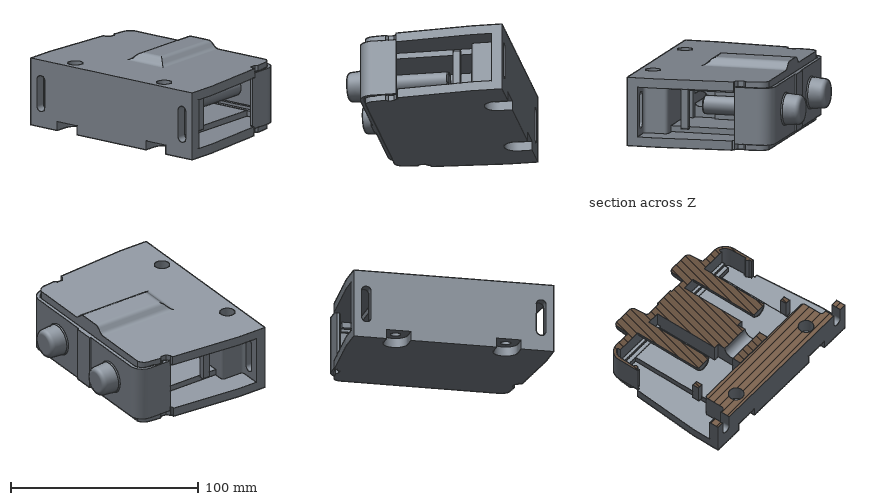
import cadquery as cq
import math


width = 110.0
height = 37.2
mid_z = height / 2
half_width = width / 2
taper_start_y = 16.7
shoulder_y = 58.2
shoulder_x = 51.6
lower_shoulder_y = 57.3
rear_y = 75.9
plate_thickness = 5.1
front_thickness = 5.7

notch_x = 47.8
notch_front_y = 59.7
notch_rear_y = 62.9
rim_start = (49.2, 64.1)
rim_end = (48.4, 71.3)
rim_corner_x = 44.5

block_half_width = 42.4
block_rear_y = 18.9
block_root_radius = 1.8
block_corner_radius = 1.9

slot_x = 48.1
slot_width = 5.3
slot_length = 19.9

screw_x = 30.2
screw_y = 7.2
screw_diameter = 5.5
counterbore_diameter = 8.1
pocket_width = 13.4
pocket_height = 5.1
screw_seat = 5.0

ridge_half_width = 12.9
ridge_front_y = 28.4
ridge_height = 3.8
ridge_radius = 4.0
ridge_angle = math.radians(44)

cover_half_width = 49.9
cover_rear_y = 79.0
cover_corner_radius = 7.7
cover_height = 30.9
cover_inner_y = 77.0
flap_front_y = 58.3
flap_inner_x = 48.4
flap_root_x = 48.0
cover_inner_radius = 5.5
hook_radius = 1.2
hook_y = 61.2
tab_width = 11.2
tab_rear_y = 79.8

knob_x = 24.0
knob_rear_y = 88.8
knob_foot_radius = 8.9
knob_base_radius = 8.5
knob_end_radius = 7.9
knob_rounding = 2.4
shaft_radius = 5.0
shaft_front_y = 34.0
shaft_chamfer = 0.7

tray_z = 18.4
tray_half_width = 36.3
tray_height = 26.2
tray_plate = 3.2
key_half_width = 11.8
key_front_y = 36.2
plug_half_width = 44.0
plug_front_y = 74.9
step_front_y = 73.0
step_height = 4.6
foot_front_y = 70.6
foot_height = 3.1
web_half_width = 8.8
web_step_y = 24.1
hole_y = 27.4
hole_diameter = 8.5
strap_outer_x = 39.6
strap_thickness = 3.8
strap_height = 22.2
strap_corner_radius = 1.0


def box(x0, x1, y0, y1, z0, z1):
    return cq.Workplane("XY").box(x1 - x0, y1 - y0, z1 - z0, centered=False).translate((x0, y0, z0))


def centred_box(half, front_y, back_y, bottom, top):
    return box(-half, half, front_y, back_y, bottom, top)


def mirrored_about_yz(half):
    return half.union(half.mirror("YZ"))


def housing_envelope():
    half = (
        cq.Workplane("XY")
        .moveTo(0, 0)
        .lineTo(half_width, 0)
        .lineTo(half_width, taper_start_y)
        .lineTo(shoulder_x, shoulder_y)
        .lineTo(cover_half_width, shoulder_y)
        .lineTo(notch_x, notch_front_y)
        .lineTo(notch_x, notch_rear_y)
        .lineTo(*rim_start)
        .lineTo(*rim_end)
        .tangentArcPoint((rim_corner_x, rear_y), relative=False)
        .lineTo(0, rear_y)
        .close()
        .extrude(height)
    )
    return mirrored_about_yz(half)


def block_profile():
    """Thick middle of the front wall, from its rounded roots to its rounded rear corners."""
    root_x = block_half_width + block_root_radius
    return (
        cq.Workplane("XY")
        .moveTo(0, 0)
        .lineTo(root_x, 0)
        .lineTo(root_x, front_thickness)
        .radiusArc((block_half_width, front_thickness + block_root_radius), block_root_radius)
        .lineTo(block_half_width, block_rear_y - block_corner_radius)
        .radiusArc((block_half_width - block_corner_radius, block_rear_y), -block_corner_radius)
        .lineTo(0, block_rear_y)
        .close()
        .extrude(height)
    )


def housing_cavity():
    """Opening through both flanks and the rear, around the block."""
    opening = centred_box(
        half_width, front_thickness, cover_rear_y, plate_thickness, height - plate_thickness
    )
    return opening.cut(mirrored_about_yz(block_profile()))


def front_slots():
    return (
        cq.Workplane("XZ")
        .pushPoints([(-slot_x, mid_z), (slot_x, mid_z)])
        .slot2D(slot_length, slot_width, 90)
        .extrude(-front_thickness)
    )


def screw_hole(x):
    hole = cq.Workplane("XY").center(x, screw_y).circle(screw_diameter / 2).extrude(height)
    counterbore = (
        cq.Workplane("XY", origin=(0, 0, pocket_height + screw_seat))
        .center(x, screw_y)
        .circle(counterbore_diameter / 2)
        .extrude(height)
    )
    pocket_end = cq.Workplane("XY").center(x, screw_y).circle(pocket_width / 2).extrude(pocket_height)
    pocket_mouth = box(x - pocket_width / 2, x + pocket_width / 2, 0, screw_y, 0, pocket_height)
    return hole.union(counterbore).union(pocket_end).union(pocket_mouth)


def ridge_flank(workplane, foot, far_edge):
    """Area under an S-shaped flank that climbs from foot toward the far edge."""
    run = ridge_radius * math.sin(ridge_angle)
    rise = ridge_radius * (1 - math.cos(ridge_angle))
    straight_run = (ridge_height - 2 * rise) / math.tan(ridge_angle)
    return (
        workplane.moveTo(foot, 0)
        .radiusArc((foot + run, rise), -ridge_radius)
        .lineTo(foot + run + straight_run, ridge_height - rise)
        .radiusArc((foot + 2 * run + straight_run, ridge_height), ridge_radius)
        .lineTo(far_edge, ridge_height)
        .lineTo(far_edge, 0)
        .close()
    )


def ridge():
    """Two crossed profiles, so that the front corners come out mitred."""
    half = ridge_flank(
        cq.Workplane("XZ", origin=(0, rear_y, height)), -ridge_half_width, 0
    ).extrude(rear_y - ridge_front_y)
    front = ridge_flank(
        cq.Workplane("YZ", origin=(-ridge_half_width, 0, height)), ridge_front_y, rear_y
    ).extrude(2 * ridge_half_width)
    return mirrored_about_yz(half).intersect(front)


def cover_shell():
    """Rear wall with a forward flap and snap hook on each side."""
    half = (
        cq.Workplane("XY", origin=(0, 0, mid_z - cover_height / 2))
        .moveTo(0, cover_rear_y)
        .lineTo(cover_half_width - cover_corner_radius, cover_rear_y)
        .radiusArc((cover_half_width, cover_rear_y - cover_corner_radius), cover_corner_radius)
        .lineTo(cover_half_width, flap_front_y)
        .lineTo(flap_inner_x, flap_front_y)
        .lineTo(flap_inner_x, hook_y - hook_radius)
        .threePointArc((flap_inner_x - hook_radius, hook_y), (flap_inner_x, hook_y + hook_radius))
        .lineTo(flap_root_x, cover_inner_y - cover_inner_radius)
        .radiusArc((flap_root_x - cover_inner_radius, cover_inner_y), -cover_inner_radius)
        .lineTo(0, cover_inner_y)
        .close()
        .extrude(cover_height)
    )
    return mirrored_about_yz(half)


def cover_tab():
    bottom = mid_z - cover_height / 2
    return centred_box(tab_width / 2, cover_inner_y, tab_rear_y, bottom, bottom + cover_height)


def knob(x):
    """Flared knob behind the cover and its shaft in front, turned as one profile."""
    turned = (
        cq.Workplane("XY")
        .moveTo(0, shaft_front_y)
        .lineTo(shaft_chamfer - shaft_radius, shaft_front_y)
        .lineTo(-shaft_radius, shaft_front_y + shaft_chamfer)
        .lineTo(-shaft_radius, cover_inner_y)
        .lineTo(-knob_foot_radius, cover_inner_y)
        .lineTo(-knob_foot_radius, cover_rear_y)
        .lineTo(-knob_base_radius, tab_rear_y)
        .lineTo(-knob_end_radius, knob_rear_y - knob_rounding)
        .radiusArc((knob_rounding - knob_end_radius, knob_rear_y), knob_rounding)
        .lineTo(0, knob_rear_y)
        .close()
        .revolve(360, (0, 0, 0), (0, 1, 0))
    )
    return turned.translate((x, 0, mid_z))


def tray_plate_with_steps():
    """Lower plate of the tray, with the steps at its rear end."""
    bottom = tray_z - tray_height / 2
    plate = centred_box(tray_half_width, block_rear_y, foot_front_y, bottom, bottom + tray_plate)
    foot = centred_box(plug_half_width, foot_front_y, plug_front_y, bottom, bottom + foot_height)
    step = centred_box(plug_half_width, step_front_y, plug_front_y, bottom, bottom + step_height)
    return plate.union(foot).union(step)


def tray():
    """Upper and lower plates, joined by the plug, a central key and a bored web."""
    bottom = tray_z - tray_height / 2
    top = tray_z + tray_height / 2
    lower = tray_plate_with_steps()
    upper = lower.mirror("XY", (0, 0, tray_z))
    plug = centred_box(plug_half_width, plug_front_y, cover_inner_y, bottom, top)
    key = centred_box(key_half_width, key_front_y, cover_inner_y, bottom, height - plate_thickness)
    web_foot = centred_box(key_half_width, block_rear_y, web_step_y, bottom, top)
    web = centred_box(web_half_width, web_step_y, key_front_y, bottom, top)
    bore = (
        cq.Workplane("YZ")
        .center(hole_y, tray_z)
        .circle(hole_diameter / 2)
        .extrude(key_half_width, both=True)
    )
    bored_web = web.cut(bore)
    return lower.union(upper).union(plug).union(key).union(bored_web).union(web_foot)


def strap(side):
    """Rounded bar across the edges of both tray plates."""
    depth = strap_outer_x - tray_half_width
    bar = (
        cq.Workplane("XY")
        .box(depth, strap_thickness, strap_height)
        .edges("|Y and >X")
        .fillet(strap_corner_radius)
        .translate((tray_half_width + depth / 2, hole_y, mid_z))
    )
    return bar if side > 0 else bar.mirror("YZ")


def lower_shoulder_relief():
    """Brings the shoulder of the bottom wall forward on both flanks."""
    flank = box(cover_half_width, half_width, lower_shoulder_y, rear_y, 0, plate_thickness)
    return mirrored_about_yz(flank)


def build_housing():
    body = housing_envelope().cut(housing_cavity()).cut(front_slots())
    body = body.cut(lower_shoulder_relief()).cut(cover_shell())
    for x in (-screw_x, screw_x):
        body = body.cut(screw_hole(x))
    return body.union(ridge())


def build_cover():
    body = cover_shell().union(cover_tab()).union(tray())
    for side in (-1, 1):
        body = body.union(knob(side * knob_x)).union(strap(side))
    return body


housing = build_housing()
cover = build_cover()

result = cq.Compound.makeCompound([housing.val(), cover.val()])